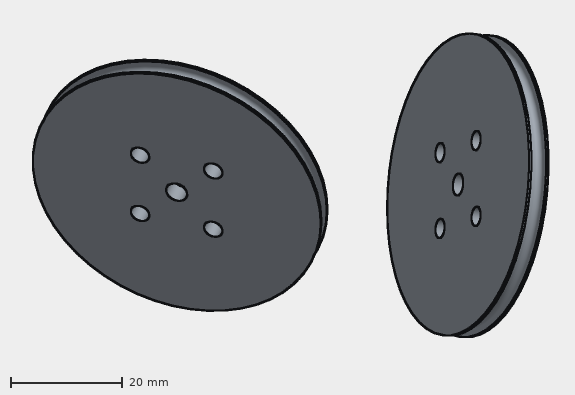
import cadquery as cq

wheel_diameter = 54.5
wheel_width = 4.0
flange_thickness = 0.5
groove_depth = 2.25
groove_width = wheel_width - 2 * flange_thickness
groove_fillet = groove_width / 3

bore_diameter = 4.0
bolt_hole_diameter = 3.5
bolt_hole_spacing = 13.85


def make_disc(diameter, width):
    """Solid disc centred on the origin with its axis along Y."""
    return cq.Workplane("XZ").workplane(offset=-width / 2).circle(diameter / 2).extrude(width)


def make_rim_groove():
    """Ring that removes the groove, with both corners of its floor rounded."""
    floor_diameter = wheel_diameter - 2 * groove_depth
    ring = make_disc(wheel_diameter, groove_width).cut(make_disc(floor_diameter, groove_width))
    floor_corners = cq.selectors.RadiusNthSelector(0)
    return ring.edges("%CIRCLE").edges(floor_corners).fillet(groove_fillet)


def make_holes():
    """Central bore and the square pattern of four bolt holes."""
    bore = make_disc(bore_diameter, wheel_width)
    bolt_holes = (
        cq.Workplane("XZ")
        .workplane(offset=-wheel_width / 2)
        .rect(bolt_hole_spacing, bolt_hole_spacing, forConstruction=True)
        .vertices()
        .circle(bolt_hole_diameter / 2)
        .extrude(wheel_width)
    )
    return bore.add(bolt_holes).combine()


result = make_disc(wheel_diameter, wheel_width).cut(make_rim_groove()).cut(make_holes())